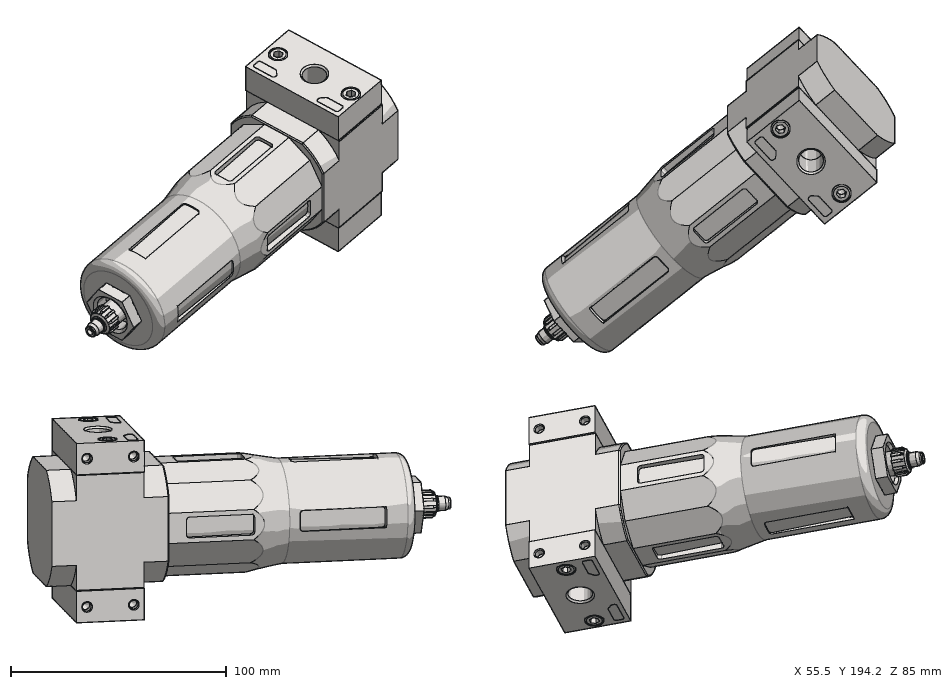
import cadquery as cq
import math


housing_width = 55.0
housing_height = 55.2
housing_length = 55.5
housing_top = housing_height / 2
housing_end_radius = 31.5
housing_front_chamfer = 0.5
housing_side_chamfer = 0.4

plate_width = 55.0
plate_length = 32.0
plate_shift_x = -0.5
total_height = 85.0
plate_top = total_height / 2
plate_height = plate_top - housing_top
plate_depth = 27.5
port_diameter = 11.5
port_rim_diameter = 13.2
label_depth = 0.2
label_length = 12.6
label_width = 4.9
label_inset = 2.3
label_center_depth = 38.8
label_slant = 2.5
label_corner_radius = 1.2

side_hole_diameter = 4.0
side_hole_rim_diameter = 5.0
side_hole_spacing = 22.1
side_hole_height = 35.2
side_hole_depth = 3.9
drill_point_angle = 118

screw_diameter = 9.0
screw_face_diameter = 7.4
screw_length = 7.8
screw_offset_x = 21.5
socket_width = 4.0
socket_depth = 3.9

guard_start = housing_length
guard_sides = 12
guard_width = 53.6
guard_cone_start = 95.7
guard_cone_end = 113.2
guard_radius = 24.5
guard_end = 173.2
guard_end_fillet = 4.0
window_width = 10.0
window_corner_radius = 1.5
upper_window_start = 63.9
upper_window_end = 96.1
lower_window_start = 118.3
lower_window_end = 159.2
lower_window_slant = 0.5

bowl_back_radius = 25.2
bowl_front_radius = 22.5
bowl_front = 167.0
bowl_hex_width = 24.0
bowl_hex_end = 179.0
outlet_diameter = 17.5
outlet_rim_diameter = 20.2
outlet_depth = 7.8

neck_diameter = 11.5
knob_start = 180.5
knob_end = 186.6
knob_diameter = 13.2
knob_chamfer_length = 1.5
knob_nose_diameter = 8.5
knob_nose_end = 187.2
flute_count = 12
flute_width = 2.1
flute_root_diameter = 11.3
stem_diameter = 6.8
collar_diameter = 7.5
collar_start = 187.6
collar_end = 188.2
stem_end = 191.5
tip_start = 193.0
tip_diameter = 5.6
tip_chamfer = 0.4
drain_end = 194.2
drain_bore_diameter = 3.0
drain_bore_depth = 3.9


def section_plane(depth):
    """Plane square to the long axis; extruding from it goes towards the front."""
    return cq.Workplane("XZ", origin=(0, -depth, 0))


def revolve_about_axis(profile):
    """Solid of revolution from (radius, depth) points."""
    points = [(radius, -depth) for radius, depth in profile]
    return cq.Workplane("XY").polyline(points).close().revolve(360, (0, 0, 0), (0, 1, 0))


def across_corners(flats, sides):
    return flats / math.cos(math.pi / sides)


def drilled_hole(diameter, depth):
    """Round hole with a drill point, from the XY plane towards -Z."""
    radius = diameter / 2
    point = radius / math.tan(math.radians(drill_point_angle / 2))
    profile = [(0, 0), (radius, 0), (radius, -depth), (0, -depth - point)]
    return cq.Workplane("XZ").polyline(profile).close().revolve(360, (0, 0, 0), (0, 1, 0))


def countersink(rim_diameter, diameter):
    """45 degree cone that widens a hole at the XY plane."""
    rim = rim_diameter / 2
    profile = [(0, 0), (rim, 0), (diameter / 2, (diameter - rim_diameter) / 2), (0, -rim)]
    return cq.Workplane("XZ").polyline(profile[:3] + [(0, profile[2][1])]).close().revolve(
        360, (0, 0, 0), (0, 1, 0))


def make_housing():
    square = section_plane(0).rect(housing_width, housing_height).extrude(housing_length)
    round_limit = section_plane(0).circle(housing_end_radius).extrude(housing_length)
    ends = square.intersect(round_limit).faces("<Y").chamfer(housing_front_chamfer)
    middle_start = plate_depth - plate_length / 2
    middle = section_plane(middle_start).rect(housing_width, housing_height).extrude(plate_length)
    middle = middle.edges("|Y").chamfer(housing_side_chamfer)
    port = cq.Workplane("XY").center(0, -plate_depth).circle(port_diameter / 2)
    return ends.union(middle).cut(port.extrude(housing_height, both=True))


def label_recess(side):
    """Shallow label field with one slanted corner; side is -1 (left) or 1 (right)."""
    outer = plate_width / 2 - label_inset
    inner = outer - label_length
    back = -label_center_depth + label_width / 2
    front = -label_center_depth - label_width / 2
    points = [
        (outer, back),
        (inner + label_slant, back),
        (inner, back - label_slant),
        (inner, front),
        (outer, front),
    ]
    outline = [(plate_shift_x + side * x, y) for x, y in points]
    field = cq.Workplane("XY", origin=(0, 0, plate_top - label_depth)).polyline(outline).close()
    return field.extrude(label_depth).edges("|Z").fillet(label_corner_radius)


def make_top_plate():
    plate = cq.Workplane("XY").box(plate_width, plate_length, plate_height).translate(
        (plate_shift_x, -plate_depth, plate_top - plate_height / 2))
    port_top = (0, -plate_depth, plate_top)
    port = cq.Workplane("XY", origin=port_top).circle(port_diameter / 2).extrude(-plate_height)
    plate = plate.cut(port).cut(countersink(port_rim_diameter, port_diameter).translate(port_top))
    for side in (-1, 1):
        plate = plate.cut(label_recess(side))
        seat = cq.Workplane("XY", origin=(side * screw_offset_x, -plate_depth, plate_top))
        plate = plate.cut(seat.circle(screw_diameter / 2).extrude(-screw_length))
        hole = drilled_hole(side_hole_diameter, side_hole_depth).union(
            countersink(side_hole_rim_diameter, side_hole_diameter))
        hole = hole.rotate((0, 0, 0), (0, 1, 0), -90)
        hole_depth_y = plate_depth + side * side_hole_spacing / 2
        plate = plate.cut(hole.translate(
            (plate_shift_x - plate_width / 2, -hole_depth_y, side_hole_height)))
    return plate


def make_top_screw(side):
    """Cap screw whose chamfered face is flush with the plate."""
    body = cq.Workplane("XY").circle(screw_diameter / 2).extrude(-screw_length)
    body = body.faces(">Z").chamfer((screw_diameter - screw_face_diameter) / 2)
    socket = cq.Workplane("XY").polygon(6, across_corners(socket_width, 6)).extrude(-socket_depth)
    body = body.cut(socket).cut(drilled_hole(socket_width, socket_depth))
    return body.translate((side * screw_offset_x, -plate_depth, plate_top))


def window_cutter(start, end, slant):
    """Window on the +Z side of the guard; its front end leans outwards by the slant."""
    top = housing_top
    straight_end = end - slant
    length = straight_end - start
    window = (
        cq.Workplane("XY", origin=(0, -(start + straight_end) / 2, 0))
        .rect(window_width, length)
        .extrude(top)
        .edges("|Z")
        .fillet(window_corner_radius)
    )
    if slant > 0:
        lean = [(-straight_end + 2, bowl_front_radius), (-straight_end, bowl_front_radius),
                (-end, guard_radius), (-straight_end + 2, guard_radius)]
        wedge = cq.Workplane("YZ").polyline(lean).close().extrude(window_width / 2, both=True)
        window = window.union(wedge)
    return window


def bowl_cone():
    return revolve_about_axis([
        (0, guard_start),
        (bowl_back_radius, guard_start),
        (bowl_front_radius, bowl_front),
        (0, bowl_front),
    ])


def bowl_neck():
    return section_plane(bowl_front).circle(bowl_hex_width / 2).extrude(guard_end - bowl_front)


def make_guard():
    grip_radius = across_corners(guard_width, guard_sides) / 2
    envelope = revolve_about_axis([
        (0, guard_start),
        (grip_radius, guard_start),
        (grip_radius, guard_cone_start),
        (guard_radius, guard_cone_end),
        (guard_radius, guard_end),
        (0, guard_end),
    ]).faces("<Y").edges().fillet(guard_end_fillet)
    grip = section_plane(guard_start).polygon(guard_sides, 2 * grip_radius)
    grip = grip.extrude(guard_end - guard_start)
    half_side_angle = 180 / guard_sides
    grip = grip.rotate((0, 0, 0), (0, 1, 0), half_side_angle)
    guard = envelope.intersect(grip)
    for start, end, slant in (
        (upper_window_start, upper_window_end, 0),
        (lower_window_start, lower_window_end, lower_window_slant),
    ):
        window = window_cutter(start, end, slant)
        for angle in (0, 90, 180, 270):
            guard = guard.cut(window.rotate((0, 0, 0), (0, 1, 0), angle))
    return guard.cut(bowl_cone()).cut(bowl_neck())


def make_bowl():
    hexagon = section_plane(guard_end).polygon(6, across_corners(bowl_hex_width, 6))
    bowl = bowl_cone().union(bowl_neck()).union(hexagon.extrude(bowl_hex_end - guard_end))
    outlet_rim = (outlet_rim_diameter - outlet_diameter) / 2
    outlet = revolve_about_axis([
        (0, bowl_hex_end - outlet_depth),
        (outlet_diameter / 2, bowl_hex_end - outlet_depth),
        (outlet_diameter / 2, bowl_hex_end - outlet_rim),
        (outlet_rim_diameter / 2, bowl_hex_end),
        (0, bowl_hex_end),
    ])
    return bowl.cut(outlet)


def make_drain():
    knob_radius = knob_diameter / 2
    drain = revolve_about_axis([
        (0, bowl_hex_end - outlet_depth),
        (neck_diameter / 2, bowl_hex_end - outlet_depth),
        (neck_diameter / 2, knob_start),
        (knob_radius, knob_start),
        (knob_radius, knob_end - knob_chamfer_length),
        (flute_root_diameter / 2, knob_end),
        (knob_nose_diameter / 2, knob_nose_end),
        (stem_diameter / 2, knob_nose_end),
        (stem_diameter / 2, collar_start),
        (collar_diameter / 2, collar_start),
        (collar_diameter / 2, collar_end),
        (stem_diameter / 2, collar_end),
        (stem_diameter / 2, stem_end),
        (tip_diameter / 2, tip_start),
        (tip_diameter / 2, drain_end - tip_chamfer),
        (tip_diameter / 2 - tip_chamfer, drain_end),
        (0, drain_end),
    ])
    flute = cq.Workplane("XY").box(
        flute_width, knob_end - knob_start, knob_radius, centered=(True, True, False)
    ).translate((0, -(knob_start + knob_end) / 2, flute_root_diameter / 2))
    for index in range(flute_count):
        angle = (index + 0.5) * 360 / flute_count
        drain = drain.cut(flute.rotate((0, 0, 0), (0, 1, 0), angle))
    bore = section_plane(drain_end - drain_bore_depth).circle(drain_bore_diameter / 2)
    return drain.cut(bore.extrude(drain_bore_depth))


housing = make_housing()
guard = make_guard()
bowl = make_bowl()
drain = make_drain()

top_plate = make_top_plate()
plates = [top_plate, top_plate.mirror("XY")]

screws = []
for screw_side in (-1, 1):
    top_screw = make_top_screw(screw_side)
    screws += [top_screw, top_screw.mirror("XY")]

result = cq.Compound.makeCompound(
    [body.val() for body in [housing, guard, bowl, drain] + plates + screws]
)